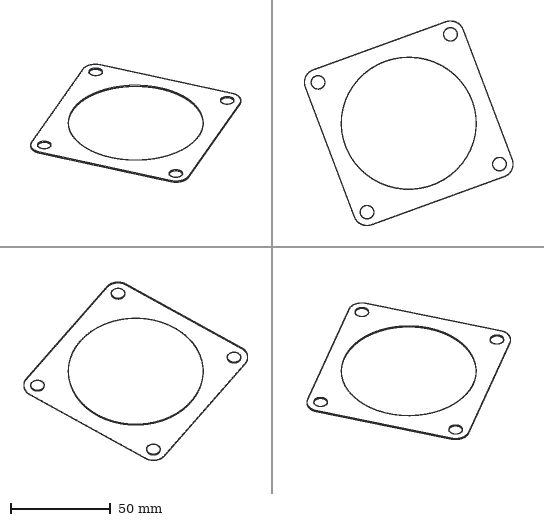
import cadquery as cq

side = 84.3
thickness = 0.85
corner_radius = 6.8
bore_diameter = 67.5
bolt_hole_diameter = 6.8
bolt_pitch = side - 2 * corner_radius

plate = cq.Workplane("XY").box(side, side, thickness).edges("|Z").fillet(corner_radius)

bored_plate = plate.faces(">Z").workplane().hole(bore_diameter)

result = (
    bored_plate.faces(">Z")
    .workplane(origin=(0, 0, 0))
    .rect(bolt_pitch, bolt_pitch, forConstruction=True)
    .vertices()
    .hole(bolt_hole_diameter)
)